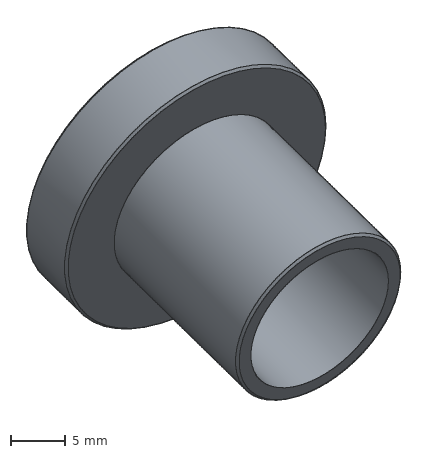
import cadquery as cq

flange_diameter = 30.15
flange_thickness = 6.35
barrel_diameter = 19.05
bore_diameter = 15.85
total_length = 25.4
edge_chamfer = 0.25


def cylinder_along_x(diameter, length):
    """Cylinder starting at X = 0 and extending toward +X."""
    return cq.Workplane("YZ").circle(diameter / 2).extrude(length)


flange = cylinder_along_x(flange_diameter, flange_thickness).edges().chamfer(edge_chamfer)
barrel = cylinder_along_x(barrel_diameter, total_length).faces(">X").edges().chamfer(edge_chamfer)
body = flange.union(barrel)

bored = body.cut(cylinder_along_x(bore_diameter, total_length))
bore_mouth = bored.faces("<X").edges(cq.selectors.RadiusNthSelector(0))
result = bore_mouth.chamfer(edge_chamfer)